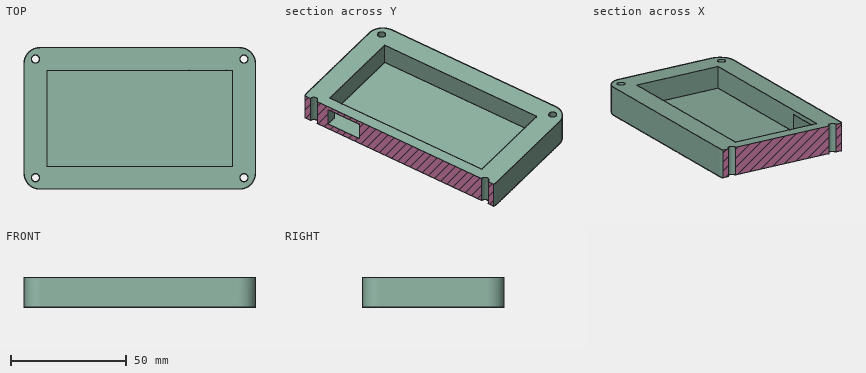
import cadquery as cq

length = 100.2
width = 61.3
height = 13.0
corner_radius = 7.0

pocket_length = 80.2
pocket_width = 41.5
floor_thickness = 3.0

hole_diameter = 3.4
hole_inset = 5.0

opening_width = 16.2
opening_height = 8.0
opening_end_gap = 2.6


def make_block():
    block = cq.Workplane("XY").box(length, width, height, centered=(True, True, False))
    return block.edges("|Z").fillet(corner_radius)


def make_pocket():
    depth = height - floor_thickness
    return (
        cq.Workplane("XY")
        .workplane(offset=floor_thickness)
        .box(pocket_length, pocket_width, depth, centered=(True, True, False))
    )


def make_screw_holes():
    return (
        cq.Workplane("XY")
        .rect(length - 2 * hole_inset, width - 2 * hole_inset, forConstruction=True)
        .vertices()
        .circle(hole_diameter / 2)
        .extrude(height)
    )


def make_wall_opening():
    start_x = pocket_length / 2 - opening_end_gap - opening_width
    return (
        cq.Workplane("XY")
        .box(opening_width, width / 2, opening_height, centered=False)
        .translate((start_x, 0, floor_thickness))
    )


result = make_block().cut(make_pocket()).cut(make_screw_holes()).cut(make_wall_opening())